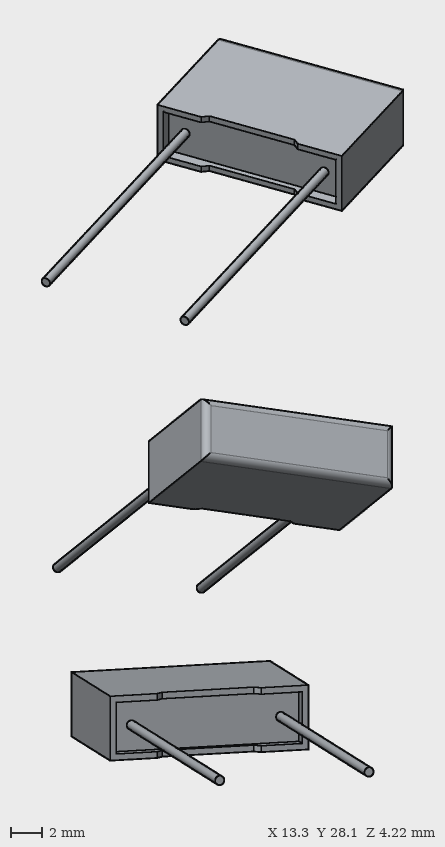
import cadquery as cq

total_length = 28.1
case_width = 13.3
case_length = 9.1
case_thickness = 4.22

wall = 0.42
back_fillet = 0.5
notch_mouth_width = 6.97
notch_floor_width = 6.13
notch_depth = 0.35

fill_recess = 0.75
lead_diameter = 0.62
lead_spacing = 10.0

cavity_length = case_length - wall
lead_tip_y = case_length - total_length


def block(width, thickness, front_y, back_y):
    """Box centred on X and Z that spans front_y to back_y."""
    return (
        cq.Workplane("XY")
        .box(width, back_y - front_y, thickness, centered=(True, False, True))
        .translate((0, front_y, 0))
    )


def make_rim_notch():
    """Tapered cutter that lowers the middle of both long rim walls."""
    half_mouth = notch_mouth_width / 2
    half_floor = notch_floor_width / 2
    return (
        cq.Workplane("XY")
        .polyline([
            (-half_mouth, 0),
            (half_mouth, 0),
            (half_floor, notch_depth),
            (-half_floor, notch_depth),
        ])
        .close()
        .extrude(case_thickness, both=True)
    )


def make_case():
    """Box open at the front, with rounded back edges and a notched rim."""
    outer = block(case_width, case_thickness, 0, case_length)
    outer = outer.faces(">Y").edges().fillet(back_fillet)
    cavity = block(case_width - 2 * wall, case_thickness - 2 * wall, 0, cavity_length)
    return outer.cut(cavity).cut(make_rim_notch())


def make_filling():
    """Block that fills the cavity up to a face set back from the rim."""
    return block(case_width - 2 * wall, case_thickness - 2 * wall, fill_recess, cavity_length)


def make_lead(x):
    """Straight round wire from the filling face to the lead tip."""
    return (
        cq.Workplane("XZ", origin=(x, fill_recess, 0))
        .circle(lead_diameter / 2)
        .extrude(fill_recess - lead_tip_y)
    )


case = make_case()
filling = make_filling()
leads = [make_lead(side * lead_spacing / 2) for side in (-1, 1)]

result = cq.Compound.makeCompound([
    case.val(),
    filling.val(),
    *[lead.val() for lead in leads],
])